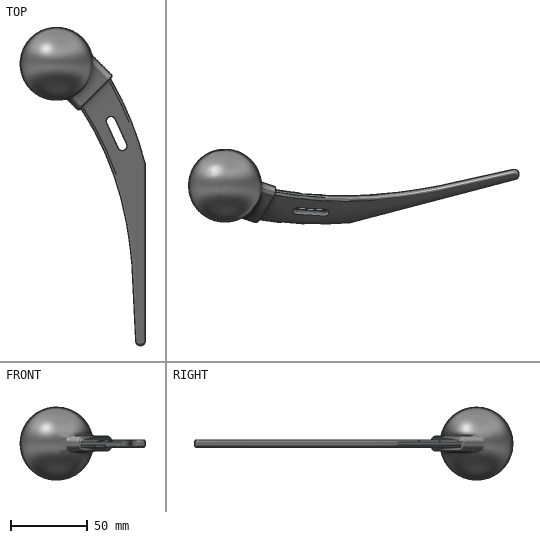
import cadquery as cq
import math

head_radius = 24.0

neck_angle = -45.0
neck_end = 31.8
neck_start = 8.0
neck_offset = 4.4
neck_width = 32.0
neck_height = 10.0
neck_end_fillet = 1.0
head_blend_radius = 2.0

blade_thickness = 5.0
blade_fillet = 1.6
blade_root_fillet = 1.0
blade_outer_x = 58.29
tip_center_y = -182.0
tip_width = 6.44
outer_kink_y = -65.9
outer_arc_middle = (47.4, -33.7)
outer_arc_top = (31.7, -3.5)
inner_arc_top = (12.3, -24.0)
inner_arc_middle = (35.8, -68.5)
inner_arc_end = (45.75, -104.5)
inner_line_start = (49.35, -131.5)

slot_center = (39.4, -45.8)
slot_width = 6.0
slot_length = 23.9
slot_angle = -65.4

tolerance = 1e-3


def make_head():
    return cq.Workplane("XY").sphere(head_radius).rotate((0, 0, 0), (0, 0, 1), 180)


def make_neck():
    neck = (
        cq.Workplane("YZ", origin=(neck_start, neck_offset, 0))
        .slot2D(neck_width, neck_height)
        .extrude(neck_end - neck_start)
        .faces(">X")
        .edges()
        .fillet(neck_end_fillet)
    )
    return neck.rotate((0, 0, 0), (0, 0, 1), neck_angle)


def make_blade():
    tip_radius = tip_width / 2
    tip_inner = (blade_outer_x - tip_width, tip_center_y)
    tip_bottom = (blade_outer_x - tip_radius, tip_center_y - tip_radius)
    blade = (
        cq.Workplane("XY")
        .workplane(offset=-blade_thickness / 2)
        .moveTo(*inner_arc_top)
        .threePointArc(inner_arc_middle, inner_arc_end)
        .tangentArcPoint(inner_line_start, relative=False)
        .lineTo(*tip_inner)
        .threePointArc(tip_bottom, (blade_outer_x, tip_center_y))
        .lineTo(blade_outer_x, outer_kink_y)
        .threePointArc(outer_arc_middle, outer_arc_top)
        .close()
        .extrude(blade_thickness)
    )
    return blade.faces("|Z").edges().fillet(blade_fillet)


def make_slot():
    return (
        cq.Workplane("XY")
        .center(*slot_center)
        .slot2D(slot_length, slot_width, slot_angle)
        .extrude(blade_thickness, both=True)
    )


def blend_head_to_neck(body):
    """Round the inside corner where the neck leaves the spherical head."""
    def on_neck_outline(edge):
        middle = edge.positionAt(0.5)
        return abs(middle.Length - head_radius) < tolerance and middle.x > 0

    return body.edges().filter(on_neck_outline).fillet(head_blend_radius)


def blend_blade_root(body):
    """Round the inside corner where the blade leaves the end face of the neck."""
    angle = math.radians(neck_angle)
    neck_direction = cq.Vector(math.cos(angle), math.sin(angle), 0)

    def on_blade_root(edge):
        in_end_face = abs(edge.positionAt(0.5).dot(neck_direction) - neck_end) < tolerance
        within_blade = all(abs(v.Z) < blade_thickness / 2 + tolerance for v in edge.Vertices())
        return in_end_face and within_blade

    return body.edges().filter(on_blade_root).fillet(blade_root_fillet)


head_and_neck = blend_head_to_neck(make_head().union(make_neck()))
blended_body = blend_blade_root(head_and_neck.union(make_blade()))
result = blended_body.cut(make_slot())